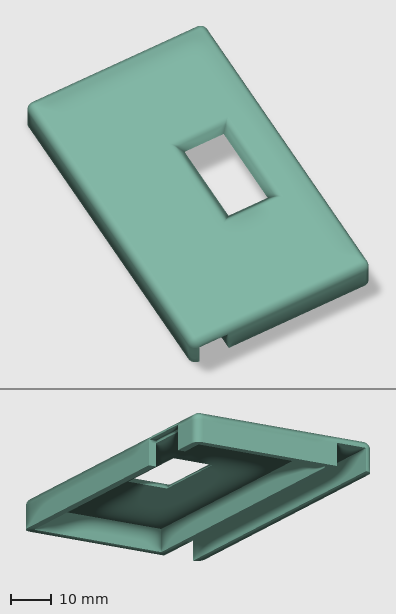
import cadquery as cq
import math

LENGTH = 84.0
WIDTH = 50.4
HEIGHT = 8.0
WALL = 2.0
EDGE_RADIUS = 2.0
CEILING = HEIGHT - WALL

CHANNEL_WIDTH = 8.2
CHANNEL_FRONT = -WIDTH / 2 + WALL
RIB_FRONT = CHANNEL_FRONT + CHANNEL_WIDTH

WINDOW_LENGTH = 22.0
WINDOW_WIDTH = 11.0
WINDOW_Y = 7.9
WINDOW_BLEND = 2.0

BACK_NOTCH_LENGTH = 14.1
BACK_NOTCH_X = -26.3
BACK_NOTCH_HEIGHT = 6.6


def block(length, width, height, x, y):
    """Box standing on the base plane, centred at x, y."""
    return cq.Workplane("XY").box(length, width, height, (True, True, False)).translate((x, y, 0))


def make_shell():
    """Rounded lid, hollow from below."""
    lid = block(LENGTH, WIDTH, HEIGHT, 0, 0)
    lid = lid.edges("|Z").fillet(EDGE_RADIUS)
    lid = lid.faces(">Z").edges().fillet(EDGE_RADIUS)
    return lid.cut(block(LENGTH - 2 * WALL, WIDTH - 2 * WALL, CEILING, 0, 0))


def make_window_cutter():
    """Flared opening: 45-degree faces below a rounded lip, mitred at the corners."""
    diagonal = math.sqrt(0.5)
    lip_drop = WINDOW_BLEND * (1 - diagonal)
    lip_start = WALL - lip_drop
    lip_end = lip_start + WINDOW_BLEND * diagonal
    mid_angle = math.radians(22.5)
    lip_middle = (
        lip_end - WINDOW_BLEND * math.sin(mid_angle),
        HEIGHT - WINDOW_BLEND * (1 - math.cos(mid_angle)),
    )

    def flared_prism(plane, half_opening, length):
        """Symmetric flared profile extruded both ways from the plane."""
        return (
            cq.Workplane(plane)
            .moveTo(-half_opening, CEILING)
            .lineTo(half_opening, CEILING)
            .lineTo(half_opening + lip_start, HEIGHT - lip_drop)
            .threePointArc((half_opening + lip_middle[0], lip_middle[1]), (half_opening + lip_end, HEIGHT))
            .lineTo(-half_opening - lip_end, HEIGHT)
            .threePointArc((-half_opening - lip_middle[0], lip_middle[1]),
                           (-half_opening - lip_start, HEIGHT - lip_drop))
            .close()
            .extrude(length, both=True)
        )

    across_x = flared_prism("XZ", WINDOW_LENGTH / 2, WIDTH)
    across_y = flared_prism("YZ", WINDOW_WIDTH / 2, LENGTH)
    return across_x.intersect(across_y).translate((0, WINDOW_Y, 0))


rib = block(LENGTH - 2 * WALL, WALL, CEILING, 0, RIB_FRONT + WALL / 2)
channel = block(LENGTH, CHANNEL_WIDTH, CEILING, 0, CHANNEL_FRONT + CHANNEL_WIDTH / 2)
back_notch = block(BACK_NOTCH_LENGTH, WALL, BACK_NOTCH_HEIGHT, BACK_NOTCH_X, (WIDTH - WALL) / 2)

result = make_shell().union(rib).cut(channel).cut(back_notch).cut(make_window_cutter())